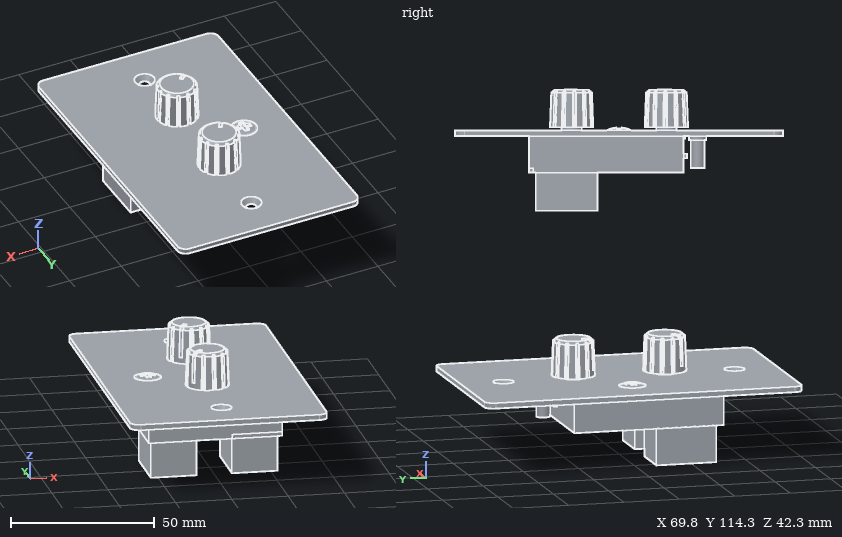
import cadquery as cq
import math


PLATE_WIDTH = 69.85
PLATE_LENGTH = 114.3
PLATE_THICKNESS = 2.0
PLATE_CORNER_RADIUS = 3.175
MOUNT_HOLE_SPACING = 83.34
MOUNT_HOLE_DIAMETER = 3.7
COUNTERSINK_DIAMETER = 7.2
COUNTERSINK_ANGLE = 82

KNOB_SPACING = 33.02
LOWER_KNOB_POINTER_ANGLE = 218
UPPER_KNOB_POINTER_ANGLE = 237
KNOB_BASE_Z = 1.06
KNOB_TOP_Z = 14.29
KNOB_BASE_RADIUS = 7.6
KNOB_SHOULDER_RADIUS = 7.15
KNOB_CROWN_RADIUS = 5.95
KNOB_BEVEL_HEIGHT = 1.05
KNOB_CROWN_RISE = 0.12
FLUTE_POSITIONS = 12
FLUTE_MOUTH_HALF_WIDTH = 0.65
FLUTE_FLOOR_HALF_WIDTH = 0.3
FLUTE_DEPTH = 0.55
POINTER_WIDTH = 1.1
POINTER_DEPTH = 0.2
POINTER_INNER_RADIUS = 3.3
POINTER_BASE_HEIGHT = 2.2
BUSHING_DIAMETER = 7.2

HOUSING_WIDTH = 47.4
HOUSING_FRONT_Y = -31.4
HOUSING_BACK_Y = 22.5
HOUSING_HEIGHT = 12.7
HOUSING_BASE_Z = -PLATE_THICKNESS - HOUSING_HEIGHT
BACK_PIN_SIZE = 1.7
BACK_PIN_LENGTH = 1.2
BACK_PIN_Z = -8.9
BACK_RIB_WIDTH = 10.0
BACK_RIB_DEPTH = 0.5
BACK_RIB_HEIGHT = 0.3
BACK_RIB_Z = -2.75

STRIP_LEFT_X = 5.95
STRIP_HEIGHT = 1.5
STRIP_DEPTH = 1.5

BLOCK_WIDTH = 16.25
BLOCK_LENGTH = 21.65
BLOCK_SPACING = 28.8
BLOCK_CENTRE_Y = -18.25
BLOCK_BASE_Z = -28.0

STUD_Y = 27.4
STUD_DIAMETER = 4.9
STUD_LENGTH = 11.1
STUD_FLANGE_DIAMETER = 6.1
STUD_FLANGE_THICKNESS = 1.4

SCREW_X = -17.9
SCREW_RIM_DIAMETER = 9.4
SCREW_RIM_HEIGHT = 0.15
SCREW_DOME_DIAMETER = 8.0
SCREW_HEAD_HEIGHT = 1.15
CROSS_LENGTH = 5.6
CROSS_ARM_WIDTH = 2.2
CROSS_DEPTH = 0.9
CROSS_TAPER = 30

KNOBS = [
    (-KNOB_SPACING / 2, LOWER_KNOB_POINTER_ANGLE),
    (KNOB_SPACING / 2, UPPER_KNOB_POINTER_ANGLE),
]
KNOB_CENTRES = [(0, y) for y, _ in KNOBS]


def make_plate():
    """Rounded plate with two countersunk mounting holes and a hole for each bushing."""
    plate = (
        cq.Workplane("XY")
        .box(PLATE_WIDTH, PLATE_LENGTH, PLATE_THICKNESS, centered=(True, True, False))
        .translate((0, 0, -PLATE_THICKNESS))
        .edges("|Z")
        .fillet(PLATE_CORNER_RADIUS)
    )
    mount_points = [(0, -MOUNT_HOLE_SPACING / 2), (0, MOUNT_HOLE_SPACING / 2)]
    plate = (
        plate.faces(">Z")
        .workplane(origin=(0, 0, 0))
        .pushPoints(mount_points)
        .cskHole(MOUNT_HOLE_DIAMETER, COUNTERSINK_DIAMETER, COUNTERSINK_ANGLE)
    )
    return (
        plate.faces(">Z")
        .workplane(origin=(0, 0, 0))
        .pushPoints(KNOB_CENTRES)
        .hole(BUSHING_DIAMETER)
    )


def make_knob(centre_y, pointer_angle):
    """Tapered, fluted knob with a domed crown and a shallow pointer groove."""
    height = KNOB_TOP_Z - KNOB_BASE_Z
    crown_edge = height - KNOB_CROWN_RISE
    shoulder = crown_edge - KNOB_BEVEL_HEIGHT
    dome_radius = (KNOB_CROWN_RADIUS**2 + KNOB_CROWN_RISE**2) / (2 * KNOB_CROWN_RISE)
    mid_radius = KNOB_CROWN_RADIUS / 2
    mid_height = height - dome_radius + math.sqrt(dome_radius**2 - mid_radius**2)
    knob = (
        cq.Workplane("XZ")
        .lineTo(KNOB_BASE_RADIUS, 0)
        .lineTo(KNOB_SHOULDER_RADIUS, shoulder)
        .lineTo(KNOB_CROWN_RADIUS, crown_edge)
        .threePointArc((mid_radius, mid_height), (0, height))
        .close()
        .revolve(360, (0, 0, 0), (0, 1, 0))
    )

    flute_step = 360 / FLUTE_POSITIONS
    side_taper = math.degrees(math.atan2(KNOB_BASE_RADIUS - KNOB_SHOULDER_RADIUS, shoulder))
    floor_radius = KNOB_BASE_RADIUS - FLUTE_DEPTH
    outer_radius = KNOB_BASE_RADIUS + FLUTE_DEPTH
    outer_half_width = 2 * FLUTE_MOUTH_HALF_WIDTH - FLUTE_FLOOR_HALF_WIDTH
    flute = (
        cq.Workplane("XY", origin=(0, 0, -height))
        .moveTo(floor_radius, FLUTE_FLOOR_HALF_WIDTH)
        .lineTo(outer_radius, outer_half_width)
        .lineTo(outer_radius, -outer_half_width)
        .lineTo(floor_radius, -FLUTE_FLOOR_HALF_WIDTH)
        .close()
        .extrude(3 * height)
        .rotate((KNOB_BASE_RADIUS, 0, 0), (KNOB_BASE_RADIUS, 1, 0), -side_taper)
    )
    for position in range(1, FLUTE_POSITIONS):
        knob = knob.cut(flute.rotate((0, 0, 0), (0, 0, 1), position * flute_step))

    pointer = (
        cq.Workplane("XZ")
        .moveTo(POINTER_INNER_RADIUS, height)
        .lineTo(POINTER_INNER_RADIUS, crown_edge - POINTER_DEPTH)
        .lineTo(KNOB_CROWN_RADIUS - POINTER_DEPTH, crown_edge - POINTER_DEPTH)
        .lineTo(KNOB_SHOULDER_RADIUS - POINTER_DEPTH, shoulder - POINTER_DEPTH)
        .lineTo(KNOB_BASE_RADIUS - POINTER_DEPTH, POINTER_BASE_HEIGHT)
        .lineTo(KNOB_BASE_RADIUS, POINTER_BASE_HEIGHT)
        .lineTo(KNOB_BASE_RADIUS, height)
        .close()
        .extrude(POINTER_WIDTH / 2, both=True)
    )
    knob = knob.cut(pointer)
    return knob.rotate((0, 0, 0), (0, 0, 1), pointer_angle).translate((0, centre_y, KNOB_BASE_Z))


def make_strip():
    """Rectangular strip flush with the front, right and bottom faces of the housing."""
    return cq.Workplane("XY").box(
        HOUSING_WIDTH / 2 - STRIP_LEFT_X, STRIP_DEPTH, STRIP_HEIGHT, centered=False
    ).translate((STRIP_LEFT_X, HOUSING_FRONT_Y, HOUSING_BASE_Z))


def make_housing():
    """Box against the plate, with bushings up to the knobs, a back pin and a back rib."""
    housing_length = HOUSING_BACK_Y - HOUSING_FRONT_Y
    housing = (
        cq.Workplane("XY")
        .box(HOUSING_WIDTH, housing_length, HOUSING_HEIGHT, centered=(True, False, False))
        .translate((0, HOUSING_FRONT_Y, HOUSING_BASE_Z))
    )
    bushings = (
        cq.Workplane("XY", origin=(0, 0, -PLATE_THICKNESS))
        .pushPoints(KNOB_CENTRES)
        .circle(BUSHING_DIAMETER / 2)
        .extrude(PLATE_THICKNESS + KNOB_BASE_Z)
    )
    back_pin = (
        cq.Workplane("XZ", origin=(0, HOUSING_BACK_Y, BACK_PIN_Z))
        .rect(BACK_PIN_SIZE, BACK_PIN_SIZE)
        .extrude(-BACK_PIN_LENGTH)
    )
    back_rib = (
        cq.Workplane("XY")
        .box(BACK_RIB_WIDTH, BACK_RIB_DEPTH, BACK_RIB_HEIGHT, centered=(True, False, True))
        .translate((0, HOUSING_BACK_Y, BACK_RIB_Z))
    )
    return housing.union(bushings).union(back_pin).union(back_rib).cut(make_strip())


def make_block(centre_x):
    """Plain connector block hanging below the housing."""
    return (
        cq.Workplane("XY", origin=(centre_x, BLOCK_CENTRE_Y, BLOCK_BASE_Z))
        .rect(BLOCK_WIDTH, BLOCK_LENGTH)
        .extrude(HOUSING_BASE_Z - BLOCK_BASE_Z)
    )


def make_stud():
    """Round stud with a flange against the underside of the plate."""
    underside = cq.Workplane("XY", origin=(0, STUD_Y, -PLATE_THICKNESS))
    flange = underside.circle(STUD_FLANGE_DIAMETER / 2).extrude(-STUD_FLANGE_THICKNESS)
    shank = underside.circle(STUD_DIAMETER / 2).extrude(-STUD_LENGTH)
    return flange.union(shank)


def make_screw_head():
    """Domed screw head on a thin bevelled rim, with a tapered cross recess."""
    radius = SCREW_DOME_DIAMETER / 2
    rise = SCREW_HEAD_HEIGHT - SCREW_RIM_HEIGHT
    dome_radius = (radius**2 + rise**2) / (2 * rise)
    mid_radius = radius / 2
    mid_height = SCREW_HEAD_HEIGHT - dome_radius + math.sqrt(dome_radius**2 - mid_radius**2)
    head = (
        cq.Workplane("XZ")
        .lineTo(SCREW_RIM_DIAMETER / 2, 0)
        .lineTo(radius, SCREW_RIM_HEIGHT)
        .threePointArc((mid_radius, mid_height), (0, SCREW_HEAD_HEIGHT))
        .close()
        .revolve(360, (0, 0, 0), (0, 1, 0))
    )
    recess_mouth = cq.Workplane("XY", origin=(0, 0, SCREW_HEAD_HEIGHT))
    for length_x, length_y in [(CROSS_LENGTH, CROSS_ARM_WIDTH), (CROSS_ARM_WIDTH, CROSS_LENGTH)]:
        arm = recess_mouth.rect(length_x, length_y).extrude(-CROSS_DEPTH, taper=CROSS_TAPER)
        head = head.cut(arm)
    return head.translate((SCREW_X, 0, 0))


plate = make_plate()
housing = make_housing()
strip = make_strip()
knobs = [make_knob(centre_y, angle) for centre_y, angle in KNOBS]
blocks = [make_block(side * BLOCK_SPACING / 2) for side in (-1, 1)]
stud = make_stud()
screw_head = make_screw_head()

result = cq.Compound.makeCompound(
    [
        plate.solids().val(),
        housing.solids().val(),
        strip.solids().val(),
        *[knob.solids().val() for knob in knobs],
        *[block.solids().val() for block in blocks],
        stud.solids().val(),
        screw_head.solids().val(),
    ]
)